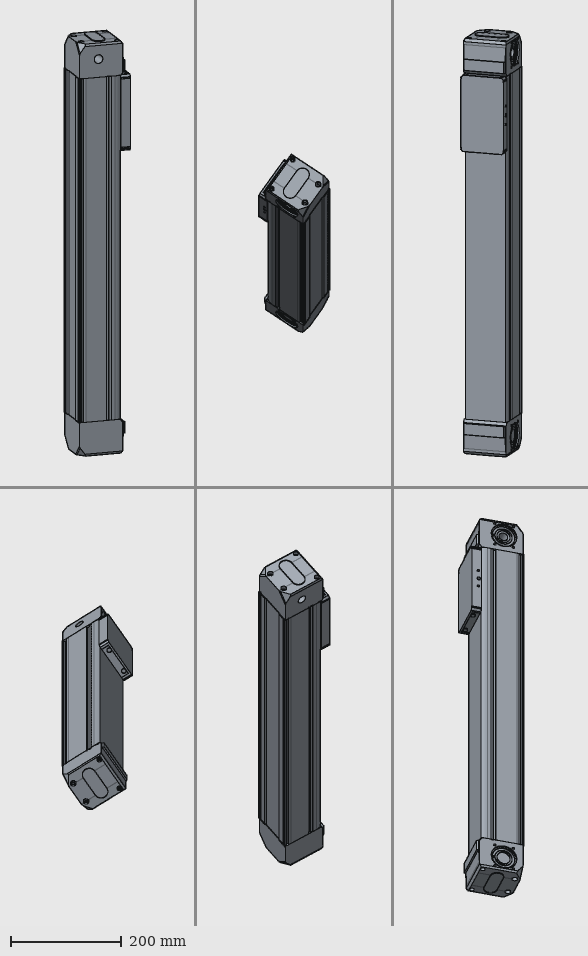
import cadquery as cq

LENGTH = 775.0
WIDTH = 82.0
HALF_WIDTH = WIDTH / 2
REAR_FACE = 80.5
CARRIAGE_BACK = 99.0

CAP_HEIGHT = 1.5
HEAD_HEIGHT = 64.0
HEAD_FRONT = 1.5
HEAD_BULGE = 4.0
BULGE_TAPER = 5.5
STRIP_HALF_WIDTH = 20.0
CROWN_DROP = 0.4
SIDE_CHAMFER_WIDTH = 1.5
SIDE_CHAMFER_HEIGHT = 5.0
CORNER_CUT_WIDTH = 18.5
CORNER_CUT_DEPTH = 14.0
CORNER_BEVEL_WIDTH = 21.0
CORNER_BEVEL_DEPTH = 6.0

CAP_LENGTH = 63.5
CAP_WIDTH = 25.0
CAP_Y = 45.0

WEDGE_START = 11.0
WEDGE_BACK = 86.0
BUMPER_START = 37.0
BUMPER_HEIGHT = 21.0
BUMPER_BACK = 89.0
BUMPER_WIDTH = 79.0
BUMPER_CHAMFER_X = 1.5
BUMPER_CHAMFER_Y = 3.0

REAR_SCREW_X = 33.0
REAR_SCREW_Y = 76.0
REAR_SCREW_DIAMETER = 8.5
FRONT_SCREW_X = 21.0
FRONT_SCREW_Y = 12.0
FRONT_SCREW_DIAMETER = 10.0
SCREW_RECESS_DEPTH = 8.0
SOCKET_DIAMETER = 4.9
SOCKET_DEPTH = 4.0

HUB_Y = 38.0
HUB_FROM_END = 30.0
HUB_RECESS_DIAMETER = 48.0
HUB_RING_DIAMETER = 43.0
HUB_CENTRE_DIAMETER = 32.5
HUB_RECESS_DEPTH = 3.0
HUB_GROOVE_DEPTH = 5.0
HUB_SOCKET_DIAMETER = 25.0
HUB_SOCKET_DEPTH = 5.0
SHAFT_BORE_DIAMETER = 16.0
HUB_PIN_DIAMETER = 4.1
HUB_PIN_RADIUS = (HUB_CENTRE_DIAMETER + HUB_RING_DIAMETER) / 4
FLANGE_HOLE_DIAMETER = 4.0
FLANGE_HOLE_SPACING_Y = 35.0
FLANGE_HOLE_SPACING_Z = 46.0
SMALL_HOLE_DEPTH = 8.0

PROFILE_BOTTOM = CAP_HEIGHT + HEAD_HEIGHT
PROFILE_LENGTH = LENGTH - 2 * PROFILE_BOTTOM
PANEL_HALF_WIDTH = 20.0
PANEL_DEPTH = 2.0
PANEL_WALL = 2.0
FRONT_GROOVE_X = 37.0
FRONT_GROOVE_WIDTH = 2.0
FRONT_GROOVE_DEPTH = 1.5
SIDE_SLOT_START = 2.0
SIDE_SLOT_END = 9.0
SIDE_SLOT_DEPTH = 2.0
SIDE_SLOT_STEP = 5.8
SIDE_SLOT_STEP_DEPTH = 3.5
SIDE_TAPER_START = 14.0
SIDE_TAPER_DEPTH = 1.0
SENSOR_SLOT_START = 53.5
SENSOR_SLOT_WIDTH = 5.0
SENSOR_SLOT_DEPTH = 4.0
SENSOR_LEDGE_DEPTH = 1.5
REAR_CURVE_START = 70.0
REAR_CURVE_INSET = 3.0

CARRIAGE_HEIGHT = 142.0
CARRIAGE_TOP = 709.0
CARRIAGE_CHAMFER_WIDTH = 4.0
CARRIAGE_CHAMFER_HEIGHT = 4.0
SEAM_FROM_END = 5.0
SEAM_WIDTH = 2.0
SEAM_DEPTH = 1.0
LEDGE_Y = 95.0
LEDGE_HALF_WIDTH = 32.5
LEDGE_DEPTH = 1.0
CARRIAGE_SCREW_X = 24.0
CARRIAGE_SCREW_Y = 91.5
CARRIAGE_SCREW_DIAMETER = 8.5
CARRIAGE_SCREW_HEAD = 1.5
PORT_Y = 86.0
PORT_DIAMETER = 6.0
PIN_HOLE_Y = 87.0
PIN_HOLE_DIAMETER = 4.0
PIN_HOLE_OFFSET_Z = 17.0


def box(x_min, x_max, y_min, y_max, z_min, z_max):
    size = (x_max - x_min, y_max - y_min, z_max - z_min)
    return cq.Workplane("XY").box(*size, centered=False).translate((x_min, y_min, z_min))


def side_cylinder(diameter, depth, y, z):
    """A cylinder that runs inwards from the -X side face."""
    start = cq.Workplane("YZ", origin=(-HALF_WIDTH, y, z))
    return start.circle(diameter / 2).extrude(depth)


def end_cylinder(diameter, depth, x, y, z):
    """A cylinder that runs down from height z."""
    return cq.Workplane("XY", origin=(x, y, z)).circle(diameter / 2).extrude(-depth)



HEAD_TOP = LENGTH - CAP_HEIGHT
HEAD_BOTTOM = HEAD_TOP - HEAD_HEIGHT


def head_block():
    """Crowned and side-chamfered across X, bulged at the rear."""
    bulge_back = REAR_FACE + HEAD_BULGE
    shoulder_x = HALF_WIDTH - SIDE_CHAMFER_WIDTH
    across = (
        cq.Workplane("XZ")
        .polyline([
            (-HALF_WIDTH, HEAD_BOTTOM),
            (HALF_WIDTH, HEAD_BOTTOM),
            (HALF_WIDTH, HEAD_TOP - SIDE_CHAMFER_HEIGHT),
            (shoulder_x, HEAD_TOP - CROWN_DROP),
            (STRIP_HALF_WIDTH, HEAD_TOP),
            (-STRIP_HALF_WIDTH, HEAD_TOP),
            (-shoulder_x, HEAD_TOP - CROWN_DROP),
            (-HALF_WIDTH, HEAD_TOP - SIDE_CHAMFER_HEIGHT),
        ])
        .close()
        .extrude(-CARRIAGE_BACK)
    )
    along = (
        cq.Workplane("YZ", origin=(-HALF_WIDTH, 0, 0))
        .polyline([
            (HEAD_FRONT, HEAD_BOTTOM),
            (REAR_FACE, HEAD_BOTTOM),
            (bulge_back, HEAD_BOTTOM + BULGE_TAPER),
            (bulge_back, HEAD_TOP - BULGE_TAPER),
            (REAR_FACE, HEAD_TOP),
            (HEAD_FRONT, HEAD_TOP),
        ])
        .close()
        .extrude(WIDTH)
    )
    return across.intersect(along)


def head_bumper():
    """Wedge rising to a bar across the rear of the head."""
    bar_top = HEAD_TOP - BUMPER_START
    bulge_back = REAR_FACE + HEAD_BULGE
    wedge = (
        cq.Workplane("YZ", origin=(-BUMPER_WIDTH / 2, 0, 0))
        .polyline([
            (REAR_FACE, HEAD_TOP - WEDGE_START),
            (bulge_back, HEAD_TOP - WEDGE_START),
            (WEDGE_BACK, bar_top),
            (REAR_FACE, bar_top),
        ])
        .close()
        .extrude(BUMPER_WIDTH)
    )
    half_bar = BUMPER_WIDTH / 2
    bar = (
        cq.Workplane("XY", origin=(0, 0, bar_top))
        .polyline([
            (-half_bar, REAR_FACE),
            (half_bar, REAR_FACE),
            (half_bar, BUMPER_BACK - BUMPER_CHAMFER_Y),
            (half_bar - BUMPER_CHAMFER_X, BUMPER_BACK),
            (BUMPER_CHAMFER_X - half_bar, BUMPER_BACK),
            (-half_bar, BUMPER_BACK - BUMPER_CHAMFER_Y),
        ])
        .close()
        .extrude(-BUMPER_HEIGHT)
    )
    return wedge.union(bar)


def corner_cut(side, width, depth):
    """Tetrahedron that slants off a front top corner; side is -1 or 1."""
    corner = cq.Vector(side * HALF_WIDTH, HEAD_FRONT, HEAD_TOP)
    on_front = corner - cq.Vector(side * width, 0, 0)
    on_side = corner + cq.Vector(0, depth, 0)
    below = corner - cq.Vector(0, 0, width)
    triangles = [
        (corner, on_front, on_side),
        (corner, on_front, below),
        (corner, on_side, below),
        (on_front, on_side, below),
    ]
    faces = [cq.Face.makeFromWires(cq.Wire.makePolygon([*t, t[0]])) for t in triangles]
    return cq.Workplane(cq.Solid.makeSolid(cq.Shell.makeShell(faces)))


def end_screws(head):
    """Four screw recesses, each with a socket in its floor."""
    floor = HEAD_TOP - SCREW_RECESS_DEPTH
    screws = [
        (REAR_SCREW_X, REAR_SCREW_Y, REAR_SCREW_DIAMETER),
        (FRONT_SCREW_X, FRONT_SCREW_Y, FRONT_SCREW_DIAMETER),
    ]
    for offset_x, y, diameter in screws:
        for x in (-offset_x, offset_x):
            head = head.cut(end_cylinder(diameter, SCREW_RECESS_DEPTH, x, y, HEAD_TOP))
            head = head.cut(end_cylinder(SOCKET_DIAMETER, SOCKET_DEPTH, x, y, floor))
    return head


def ring_groove(outer, inner, z):
    ring = side_cylinder(outer, HUB_GROOVE_DEPTH, HUB_Y, z)
    return ring.cut(side_cylinder(inner, HUB_GROOVE_DEPTH, HUB_Y, z))


def drive_hub(head, has_shaft_bore):
    z = HEAD_TOP - HUB_FROM_END
    head = head.cut(side_cylinder(HUB_RECESS_DIAMETER, HUB_RECESS_DEPTH, HUB_Y, z))
    head = head.cut(ring_groove(HUB_RING_DIAMETER, HUB_CENTRE_DIAMETER, z))
    head = head.cut(side_cylinder(HUB_SOCKET_DIAMETER, HUB_SOCKET_DEPTH, HUB_Y, z))
    if has_shaft_bore:
        head = head.cut(side_cylinder(SHAFT_BORE_DIAMETER, WIDTH, HUB_Y, z))
    head = head.cut(side_cylinder(HUB_PIN_DIAMETER, SMALL_HOLE_DEPTH, HUB_Y + HUB_PIN_RADIUS, z))
    for sign_y in (-1, 1):
        for sign_z in (-1, 1):
            hole_y = HUB_Y + sign_y * FLANGE_HOLE_SPACING_Y / 2
            hole_z = z + sign_z * FLANGE_HOLE_SPACING_Z / 2
            head = head.cut(side_cylinder(FLANGE_HOLE_DIAMETER, SMALL_HOLE_DEPTH, hole_y, hole_z))
    return head


def make_head(has_shaft_bore):
    head = head_block().union(head_bumper())
    for side in (-1, 1):
        head = head.cut(corner_cut(side, CORNER_CUT_WIDTH, CORNER_CUT_DEPTH))
        head = head.cut(corner_cut(side, CORNER_BEVEL_WIDTH, CORNER_BEVEL_DEPTH))
    head = end_screws(head)
    head = drive_hub(head, has_shaft_bore)
    cap = (
        cq.Workplane("XY", origin=(0, CAP_Y, HEAD_TOP - CROWN_DROP))
        .slot2D(CAP_LENGTH, CAP_WIDTH)
        .extrude(CROWN_DROP + CAP_HEIGHT)
    )
    return head.union(cap)



def profile_blank():
    """Rectangle whose sides curve gently inwards next to the rear face."""
    rear_x = HALF_WIDTH - REAR_CURVE_INSET
    middle_x = HALF_WIDTH - REAR_CURVE_INSET / 4
    middle_y = (REAR_CURVE_START + REAR_FACE) / 2
    return (
        cq.Workplane("XY", origin=(0, 0, PROFILE_BOTTOM))
        .moveTo(-HALF_WIDTH, 0)
        .lineTo(HALF_WIDTH, 0)
        .lineTo(HALF_WIDTH, REAR_CURVE_START)
        .threePointArc((middle_x, middle_y), (rear_x, REAR_FACE))
        .lineTo(-rear_x, REAR_FACE)
        .threePointArc((-middle_x, middle_y), (-HALF_WIDTH, REAR_CURVE_START))
        .close()
        .extrude(PROFILE_LENGTH)
    )


def front_panel_recess():
    mouth = PANEL_HALF_WIDTH + PANEL_WALL
    return (
        cq.Workplane("XY", origin=(0, 0, PROFILE_BOTTOM))
        .polyline([
            (-mouth, 0),
            (mouth, 0),
            (PANEL_HALF_WIDTH, PANEL_DEPTH),
            (-PANEL_HALF_WIDTH, PANEL_DEPTH),
        ])
        .close()
        .extrude(PROFILE_LENGTH)
    )


def left_side_grooves():
    """Front side slot with its tapered mouth, and the stepped sensor slot, on the -X side."""
    x = -HALF_WIDTH
    front_slot = (
        cq.Workplane("XY", origin=(0, 0, PROFILE_BOTTOM))
        .polyline([
            (x, SIDE_SLOT_START),
            (x + SIDE_SLOT_DEPTH, SIDE_SLOT_START),
            (x + SIDE_SLOT_DEPTH, SIDE_SLOT_STEP),
            (x + SIDE_SLOT_STEP_DEPTH, SIDE_SLOT_STEP),
            (x + SIDE_SLOT_STEP_DEPTH, SIDE_SLOT_END),
            (x + SIDE_TAPER_DEPTH, SIDE_SLOT_END),
            (x, SIDE_TAPER_START),
        ])
        .close()
        .extrude(PROFILE_LENGTH)
    )
    sensor_step = SENSOR_SLOT_START + SENSOR_SLOT_WIDTH
    sensor_end = sensor_step + SENSOR_SLOT_WIDTH
    sensor_slot = (
        cq.Workplane("XY", origin=(0, 0, PROFILE_BOTTOM))
        .polyline([
            (x, SENSOR_SLOT_START),
            (x + SENSOR_SLOT_DEPTH, SENSOR_SLOT_START),
            (x + SENSOR_SLOT_DEPTH, sensor_step),
            (x + SENSOR_LEDGE_DEPTH, sensor_step),
            (x + SENSOR_LEDGE_DEPTH, sensor_end),
            (x, sensor_end),
        ])
        .close()
        .extrude(PROFILE_LENGTH)
    )
    return front_slot.add(sensor_slot).combine()


def make_profile():
    profile = profile_blank().cut(front_panel_recess())
    grooves = left_side_grooves()
    profile = profile.cut(grooves).cut(grooves.mirror("YZ"))
    profile_top = PROFILE_BOTTOM + PROFILE_LENGTH
    for side in (-1, 1):
        x_min = side * FRONT_GROOVE_X - FRONT_GROOVE_WIDTH / 2
        x_max = x_min + FRONT_GROOVE_WIDTH
        groove = box(x_min, x_max, 0, FRONT_GROOVE_DEPTH, PROFILE_BOTTOM, profile_top)
        profile = profile.cut(groove)
    return profile



CARRIAGE_BOTTOM = CARRIAGE_TOP - CARRIAGE_HEIGHT
CARRIAGE_MIDDLE = (CARRIAGE_TOP + CARRIAGE_BOTTOM) / 2


def carriage_block():
    """Octagon whose end corners are slightly bevelled, extruded along Y."""
    shoulder_x = HALF_WIDTH - CARRIAGE_CHAMFER_WIDTH
    upper_z = CARRIAGE_TOP - CARRIAGE_CHAMFER_HEIGHT
    lower_z = CARRIAGE_BOTTOM + CARRIAGE_CHAMFER_HEIGHT
    return (
        cq.Workplane("XZ", origin=(0, REAR_FACE, 0))
        .polyline([
            (-HALF_WIDTH, lower_z),
            (-shoulder_x, CARRIAGE_BOTTOM),
            (shoulder_x, CARRIAGE_BOTTOM),
            (HALF_WIDTH, lower_z),
            (HALF_WIDTH, upper_z),
            (shoulder_x, CARRIAGE_TOP),
            (-shoulder_x, CARRIAGE_TOP),
            (-HALF_WIDTH, upper_z),
        ])
        .close()
        .extrude(REAR_FACE - CARRIAGE_BACK)
    )


def carriage_ends(block):
    """End-cap seams on the sides and a stepped-back area on each end face."""
    inner_x = HALF_WIDTH - SEAM_DEPTH
    seam_z = CARRIAGE_TOP - SEAM_FROM_END - SEAM_WIDTH
    ledge_z = CARRIAGE_TOP - LEDGE_DEPTH
    seam = box(-HALF_WIDTH, -inner_x, REAR_FACE, CARRIAGE_BACK, seam_z, seam_z + SEAM_WIDTH)
    ledge = box(-LEDGE_HALF_WIDTH, LEDGE_HALF_WIDTH, REAR_FACE, LEDGE_Y, ledge_z, CARRIAGE_TOP)
    for cutter in (seam, seam.mirror("YZ"), ledge):
        block = block.cut(cutter).cut(cutter.mirror("XY", (0, 0, CARRIAGE_MIDDLE)))
    return block


def make_carriage():
    block = carriage_ends(carriage_block())
    block = block.cut(side_cylinder(PORT_DIAMETER, SMALL_HOLE_DEPTH, PORT_Y, CARRIAGE_MIDDLE))
    for side in (-1, 1):
        pin_z = CARRIAGE_MIDDLE + side * PIN_HOLE_OFFSET_Z
        block = block.cut(side_cylinder(PIN_HOLE_DIAMETER, SMALL_HOLE_DEPTH, PIN_HOLE_Y, pin_z))
        screw = end_cylinder(
            CARRIAGE_SCREW_DIAMETER,
            LEDGE_DEPTH + CARRIAGE_SCREW_HEAD,
            side * CARRIAGE_SCREW_X,
            CARRIAGE_SCREW_Y,
            CARRIAGE_BOTTOM + LEDGE_DEPTH,
        )
        block = block.union(screw)
    return block


head_upper = make_head(True)
head_lower = make_head(False).mirror("XY", (0, 0, LENGTH / 2))
profile = make_profile()
carriage = make_carriage()
result = cq.Compound.makeCompound([
    profile.val(), head_upper.val(), head_lower.val(), carriage.val()
])